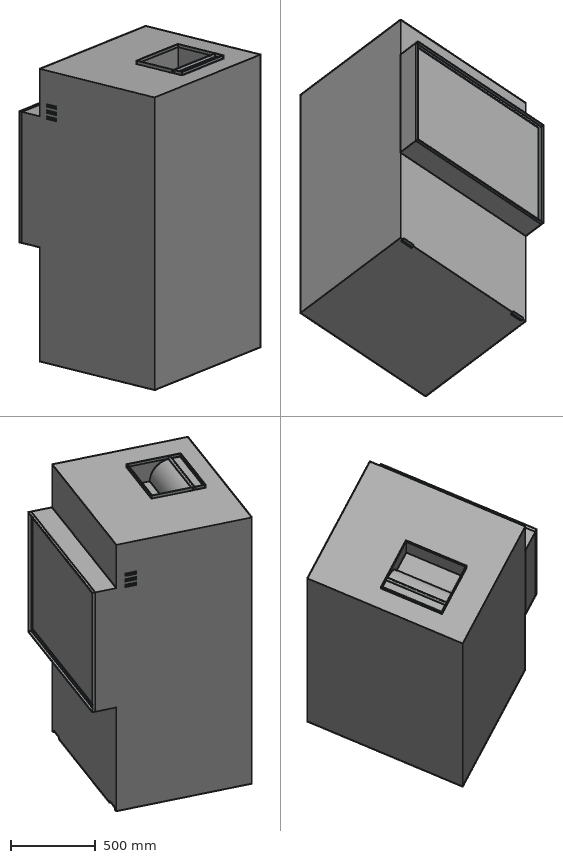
import cadquery as cq
import math

total_length = 1016.0
total_height = 1844.04
cabinet_width = 1016.0

head_overhang = 152.4
head_height = 817.0
head_bottom = 710.7
head_side_overlap = 3.175
frame_depth = 19.05
frame_sheet = 0.9
window_inset = 22.225
window_recess = 3.175

collar_length = 344.0
collar_width = 398.4
collar_height = 20.6
collar_wall = 4.0
collar_front_x = 38.8
collar_center_y = 114.0

lip_radius = 127.0
lip_front_x = 185.7
rod_diameter = 19.05
rod_below_rim = 6.35

rib_length = 69.85
rib_thickness = 1.5
rib_projection = 3.175
rib_spacing = 13.5
rib_pair_pitch = 38.1
rib_pairs = 3
bottom_rib_z = 1523.5
rib_front_inset = 57.15

plinth_height = 19.05
foot_length = 82.55
foot_height = 12.7
foot_corner = 6.35
foot_depth = 19.05
foot_inset = 22.225

front_x = -total_length / 2
back_x = total_length / 2
cabinet_front_x = front_x + head_overhang
right_y = -cabinet_width / 2
left_y = cabinet_width / 2
head_left_y = left_y + head_side_overlap
roof_z = total_height - collar_height
head_top = head_bottom + head_height
lip_crest_x = lip_front_x + lip_radius
collar_y = (collar_center_y - collar_width / 2, collar_center_y + collar_width / 2)
opening_y = (collar_y[0] + collar_wall, collar_y[1] - collar_wall)
collar_x = (collar_front_x, collar_front_x + collar_length)
opening_x = (collar_x[0] + collar_wall, collar_x[1] - collar_wall)


def block(x, y, z):
    """Box spanning the given (low, high) ranges."""
    size = (x[1] - x[0], y[1] - y[0], z[1] - z[0])
    return cq.Workplane("XY").box(*size, centered=False).translate((x[0], y[0], z[0]))


def make_cabinet():
    """Plain upright body between the plinth and the roof."""
    return block((cabinet_front_x, back_x), (right_y, left_y), (plinth_height, roof_z))


def make_head():
    """Head block whose front holds a framed recess with a sunken window."""
    panel_x = front_x + frame_depth
    head = block((panel_x, cabinet_front_x), (right_y, head_left_y), (head_bottom, head_top))
    window = block(
        (panel_x, panel_x + window_recess),
        (right_y + window_inset, head_left_y - window_inset),
        (head_bottom + window_inset, head_top - window_inset),
    )
    return head.cut(window)


def make_frame_strips():
    """Top and bottom strips run the full width; the side strips fit between them."""
    x = (front_x, front_x + frame_depth)
    full_y = (right_y, head_left_y)
    side_z = (head_bottom + frame_sheet, head_top - frame_sheet)
    return [
        block(x, full_y, (head_bottom, side_z[0])),
        block(x, full_y, (side_z[1], head_top)),
        block(x, (right_y, right_y + frame_sheet), side_z),
        block(x, (head_left_y - frame_sheet, head_left_y), side_z),
    ]


def make_collar():
    """Thin rectangular rim around the outlet."""
    z = (roof_z, total_height)
    return block(collar_x, collar_y, z).cut(block(opening_x, opening_y, z))


def make_outlet():
    """Pit under the collar, closed at the back by a quarter-round lip."""
    pit_z = roof_z - lip_radius
    middle = lip_radius * math.sin(math.pi / 4)
    profile = (
        cq.Workplane("XZ", origin=(0, opening_y[1], 0))
        .moveTo(opening_x[0], roof_z)
        .lineTo(opening_x[0], pit_z)
        .lineTo(lip_front_x, pit_z)
        .threePointArc((lip_crest_x - middle, pit_z + middle), (lip_crest_x, roof_z))
        .close()
    )
    return profile.extrude(opening_y[1] - opening_y[0])


def make_rod():
    """Rod along the lip crest, its ends flush with the outside of the collar."""
    center_z = total_height - rod_below_rim - rod_diameter / 2
    return (
        cq.Workplane("XZ", origin=(lip_crest_x, collar_y[1], center_z))
        .circle(rod_diameter / 2)
        .extrude(collar_width)
    )


def make_ribs():
    """Pairs of thin horizontal ribs standing out from the -Y wall."""
    x = (cabinet_front_x + rib_front_inset, cabinet_front_x + rib_front_inset + rib_length)
    y = (right_y - rib_projection, right_y)
    ribs = []
    for pair in range(rib_pairs):
        for offset in (0, rib_spacing):
            z0 = bottom_rib_z + pair * rib_pair_pitch + offset
            ribs.append(block(x, y, (z0, z0 + rib_thickness)))
    return ribs


def make_plinth():
    """Base slab with a round-cornered foot opening near each end of its front."""
    plinth = block((cabinet_front_x, back_x), (right_y, left_y), (0, plinth_height))
    x = (cabinet_front_x, cabinet_front_x + foot_depth)
    for y0 in (right_y + foot_inset, left_y - foot_inset - foot_length):
        foot = block(x, (y0, y0 + foot_length), (0, foot_height))
        plinth = plinth.cut(foot.edges("|X and >Z").fillet(foot_corner))
    return plinth


result = make_cabinet().union(make_head()).clean().cut(make_outlet())

for piece in [*make_frame_strips(), make_collar(), make_rod(), *make_ribs(), make_plinth()]:
    result = result.union(piece, clean=False)